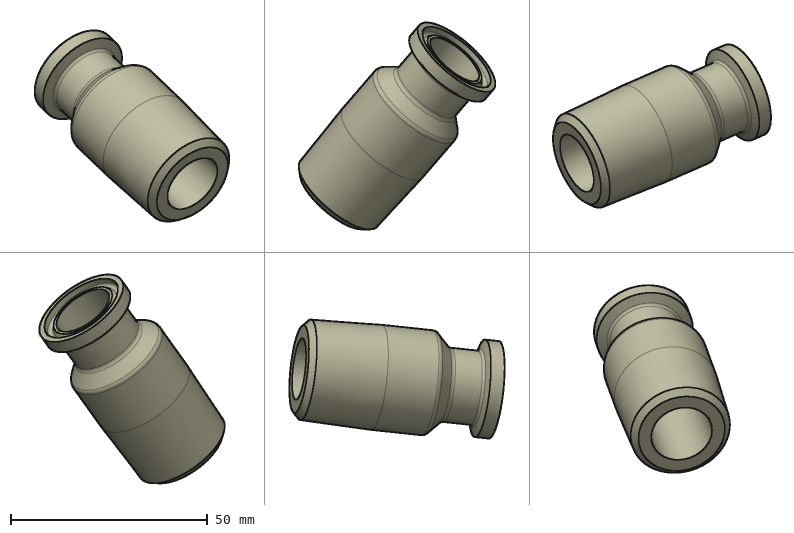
import cadquery as cq
import math

length = 50.8
full_turn = 360

bore_radius = 15.75 / 2
flange_radius = 25.0 / 2
neck_radius = 19.05 / 2
body_radius = 26.9 / 2

rim_width = 3.6
flange_back_angle = math.radians(20)
flange_back_turn = math.pi / 2 - flange_back_angle
flange_fillet = 0.8

shoulder_start = 12.9
shoulder_angle = math.radians(45)
shoulder_fillet = 1.6

taper_start = 30.7
taper_slope = 1 / 32
end_chamfer = 1.7

groove_radius = 21.9 / 2
groove_straight_depth = 1.4
groove_fillet = 0.8
lip_recess = 0.8
lip_wall_angle = math.radians(35)


def tangent_length(fillet, turn_angle):
    """Distance from a sharp corner to where its fillet begins."""
    return fillet * math.tan(turn_angle / 2)


def along(corner, direction, distance):
    """Point at a distance from a corner, direction measured from +X."""
    x, radius = corner
    return (x + distance * math.cos(direction), radius + distance * math.sin(direction))


flange_back_run = (flange_radius - neck_radius) * math.tan(flange_back_angle)
flange_corner = (rim_width + flange_back_run, neck_radius)
shoulder_foot = (shoulder_start, neck_radius)
shoulder_run = (body_radius - neck_radius) / math.tan(shoulder_angle)
shoulder_top = (shoulder_start + shoulder_run, body_radius)

flange_tangent = tangent_length(flange_fillet, flange_back_turn)
shoulder_tangent = tangent_length(shoulder_fillet, shoulder_angle)

chamfer_start = length - end_chamfer
taper_end_radius = body_radius - (chamfer_start - taper_start) * taper_slope

groove_center = (groove_straight_depth, groove_radius - groove_fillet)
groove_floor = along(groove_center, 0, groove_fillet)
lip_wall_foot = along(groove_center, lip_wall_angle - math.pi / 2, groove_fillet)
lip_radius = lip_wall_foot[1] - (lip_wall_foot[0] - lip_recess) * math.tan(lip_wall_angle)

profile = (
    cq.Workplane("XY")
    .moveTo(0, groove_radius)
    .lineTo(0, flange_radius)
    .lineTo(rim_width, flange_radius)
    .lineTo(*along(flange_corner, math.pi - flange_back_turn, flange_tangent))
    .tangentArcPoint(along(flange_corner, 0, flange_tangent), relative=False)
    .lineTo(*along(shoulder_foot, math.pi, shoulder_tangent))
    .tangentArcPoint(along(shoulder_foot, shoulder_angle, shoulder_tangent), relative=False)
    .lineTo(*along(shoulder_top, shoulder_angle + math.pi, shoulder_tangent))
    .tangentArcPoint(along(shoulder_top, 0, shoulder_tangent), relative=False)
    .lineTo(taper_start, body_radius)
    .lineTo(chamfer_start, taper_end_radius)
    .lineTo(length, taper_end_radius - end_chamfer)
    .lineTo(length, bore_radius)
    .lineTo(lip_recess, bore_radius)
    .lineTo(lip_recess, lip_radius)
    .lineTo(*lip_wall_foot)
    .threePointArc(groove_floor, (groove_straight_depth, groove_radius))
    .close()
)

result = profile.revolve(full_turn, (0, 0, 0), (1, 0, 0))